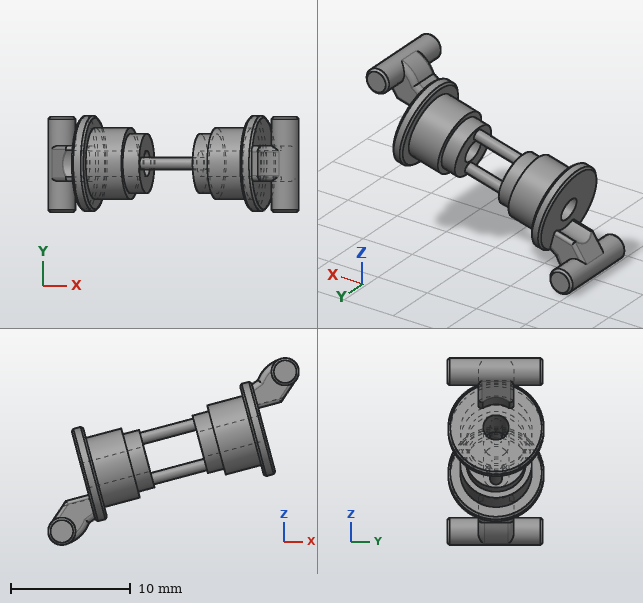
import cadquery as cq
import math

TILT = 15.0

NOSE_START = 2.31
BODY_START = 3.72
FLANGE_START = 6.79
FLANGE_END = 7.8
NOSE_RADIUS = 2.5
BODY_RADIUS = 3.0
FLANGE_RADIUS = 4.01
FLANGE_CHAMFER = 0.19
BORE_RADIUS = 1.07

ROD_RADIUS = 0.5
ROD_OFFSET = 1.75
ROD_EMBED = 0.42

PIN_RADIUS = 1.15
PIN_LENGTH = 8.03
PIN_SHIFT = -0.08
PIN_CHAMFER = 0.2
PIN_AXIAL = 10.75
PIN_HEIGHT = 4.03

WEB_WIDTH = 3.0
WEB_INNER_HEIGHT = 1.65
WEB_CORNER = 9.77
NECK_END = 8.36
NECK_BASE_HEIGHT = 3.65
NECK_HEIGHT = 3.95
WEB_EMBED = 0.2
WEB_PIN_OVERLAP = 0.02
INNER_FILLET = 0.3
OUTER_FILLET = 0.5
GROOVE_RADIUS = 2.0
GROOVE_FILLET = 0.08


def axial_cylinder(radius, start, end):
    return cq.Workplane("YZ").workplane(offset=start).circle(radius).extrude(end - start)


def make_body():
    nose = axial_cylinder(NOSE_RADIUS, NOSE_START, FLANGE_END)
    body = axial_cylinder(BODY_RADIUS, BODY_START, FLANGE_END)
    flange = axial_cylinder(FLANGE_RADIUS, FLANGE_START, FLANGE_END)
    flange = flange.edges().chamfer(FLANGE_CHAMFER)
    return nose.union(body).union(flange)


def make_pin():
    blank = cq.Workplane("XZ").center(PIN_AXIAL, PIN_HEIGHT).circle(PIN_RADIUS)
    pin = blank.extrude(PIN_LENGTH).edges().chamfer(PIN_CHAMFER)
    return pin.translate((0, PIN_LENGTH / 2 + PIN_SHIFT, 0))


def point_on_circle(center, radius, angle):
    return (center[0] + radius * math.cos(angle), center[1] + radius * math.sin(angle))


def side_edges(points):
    """Select the web edge on each flank nearest to every (axial, height) point."""
    flank_points = [(x, y, z) for x, z in points for y in (-WEB_WIDTH / 2, WEB_WIDTH / 2)]
    selector = cq.selectors.NearestToPointSelector(flank_points[0])
    for point in flank_points[1:]:
        selector = selector + cq.selectors.NearestToPointSelector(point)
    return selector


def make_web():
    pin_center = (PIN_AXIAL, PIN_HEIGHT)

    tangent_radius = PIN_RADIUS - WEB_PIN_OVERLAP
    arc_top = (PIN_AXIAL, PIN_HEIGHT + tangent_radius)
    run = WEB_CORNER - PIN_AXIAL
    drop = WEB_INNER_HEIGHT - PIN_HEIGHT
    tangent_angle = math.atan2(drop, run) + math.acos(tangent_radius / math.hypot(run, drop))
    tangent = point_on_circle(pin_center, tangent_radius, tangent_angle)

    span = PIN_AXIAL - NECK_END
    rise = arc_top[1] - NECK_HEIGHT
    arc_radius = (span**2 + rise**2) / (2 * rise)
    arc_center = (PIN_AXIAL, arc_top[1] - arc_radius)
    neck_angle = math.atan2(NECK_HEIGHT - arc_center[1], -span)
    arc_middle = point_on_circle(arc_center, arc_radius, (neck_angle + math.pi / 2) / 2)

    base = FLANGE_END - WEB_EMBED
    web = (
        cq.Workplane("XZ")
        .moveTo(base, WEB_INNER_HEIGHT)
        .lineTo(WEB_CORNER, WEB_INNER_HEIGHT)
        .lineTo(*tangent)
        .lineTo(*pin_center)
        .lineTo(*arc_top)
        .threePointArc(arc_middle, (NECK_END, NECK_HEIGHT))
        .lineTo(base, NECK_BASE_HEIGHT)
        .close()
        .extrude(WEB_WIDTH / 2, both=True)
    )

    inner_middle = ((base + WEB_CORNER) / 2, WEB_INNER_HEIGHT)
    slope_middle = ((WEB_CORNER + tangent[0]) / 2, (WEB_INNER_HEIGHT + tangent[1]) / 2)
    neck_middle = ((base + NECK_END) / 2, (NECK_BASE_HEIGHT + NECK_HEIGHT) / 2)
    web = web.edges(side_edges([inner_middle, slope_middle])).fillet(INNER_FILLET)
    web = web.edges(side_edges([arc_middle, neck_middle])).fillet(OUTER_FILLET)

    groove = axial_cylinder(GROOVE_RADIUS, base, PIN_AXIAL)
    web = web.cut(groove)
    groove_rim = cq.selectors.NearestToPointSelector((WEB_CORNER, 0, GROOVE_RADIUS))
    return web.edges(groove_rim).fillet(GROOVE_FILLET)


def make_end():
    end = make_body().union(make_web()).union(make_pin())
    return end.cut(axial_cylinder(BORE_RADIUS, NOSE_START, FLANGE_END))


def make_rod(height):
    reach = NOSE_START + ROD_EMBED
    return axial_cylinder(ROD_RADIUS, -reach, reach).translate((0, 0, height))


end = make_end()
opposite_end = end.rotate((0, 0, 0), (0, 1, 0), 180)
assembly = end.union(opposite_end)
for rod_height in (-ROD_OFFSET, ROD_OFFSET):
    assembly = assembly.union(make_rod(rod_height))

result = assembly.rotate((0, 0, 0), (0, 1, 0), -TILT)